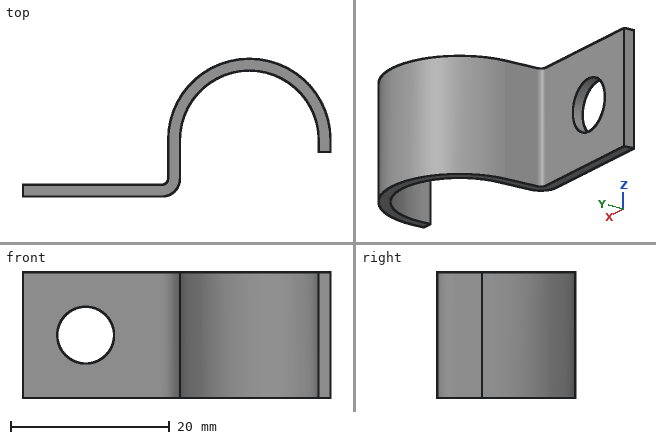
import cadquery as cq

overall_length = 38.8
overall_depth = 17.4
strip_width = 15.88
thickness = 1.52
outer_radius = 10.25
bend_inner_radius = 0.76
free_leg_length = 1.52
hole_diameter = 7.14
hole_from_end = 7.92

inner_radius = outer_radius - thickness
bend_outer_radius = bend_inner_radius + thickness
tab_end_x = outer_radius - overall_length
tab_front_y = outer_radius - overall_depth
tab_back_y = tab_front_y + thickness
bend_x = -inner_radius - bend_outer_radius
bend_y = tab_front_y + bend_outer_radius


def make_strap():
    """Bent strip: flat tab, rounded bend, riser, half-round saddle and free leg."""
    return (
        cq.Workplane("XY")
        .moveTo(tab_end_x, tab_front_y)
        .lineTo(bend_x, tab_front_y)
        .radiusArc((-inner_radius, bend_y), -bend_outer_radius)
        .lineTo(-inner_radius, 0)
        .threePointArc((0, inner_radius), (inner_radius, 0))
        .lineTo(inner_radius, -free_leg_length)
        .lineTo(outer_radius, -free_leg_length)
        .lineTo(outer_radius, 0)
        .threePointArc((0, outer_radius), (-outer_radius, 0))
        .lineTo(-outer_radius, bend_y)
        .radiusArc((bend_x, tab_back_y), bend_inner_radius)
        .lineTo(tab_end_x, tab_back_y)
        .close()
        .extrude(strip_width)
    )


def make_hole_cutter():
    """Cylinder along Y through the tab, centred on the strip width."""
    centre = cq.Vector(tab_end_x + hole_from_end, tab_front_y, strip_width / 2)
    along_y = cq.Vector(0, 1, 0)
    cutter = cq.Solid.makeCylinder(hole_diameter / 2, thickness, centre, along_y)
    return cq.Workplane(cutter)


result = make_strap().cut(make_hole_cutter())